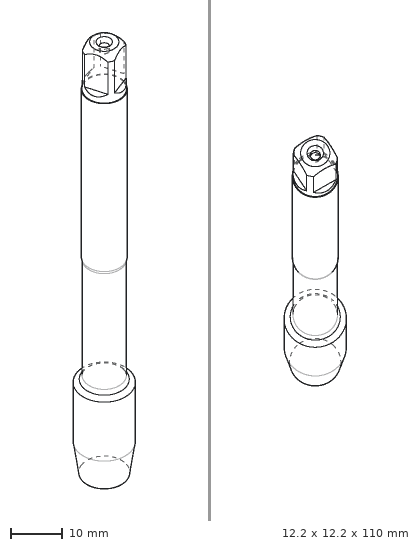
import cadquery as cq
import math

total_length = 110.0
taper_height = 8.0
head_shoulder = 23.1
head_height = 23.9
neck_top = 54.5
shank_bottom = 55.1
shank_top = 98.0
ramp_bottom = 99.0
ramp_top = 100.2

head_diameter = 12.2
tip_diameter = 10.0
neck_diameter = 8.7
shank_diameter = 9.0
drive_diameter = 8.7

flare_radius = 1.2
flare_turn = math.radians(57)
flare_bottom_diameter = neck_diameter + 2 * flare_radius * (1 - math.cos(flare_turn))
neck_bottom = head_height + flare_radius * math.sin(flare_turn)

across_flats = 7.0
drive_face_diameter = 5.7
drive_chamfer_height = 1.5

center_hole_diameter = 2.0
countersink_diameter = 3.2
countersink_half_angle = math.radians(30)
countersink_depth = (countersink_diameter - center_hole_diameter) / 2 / math.tan(countersink_half_angle)
center_hole_depth = 2.2
drill_point_depth = center_hole_diameter / 2


def make_turned_solid(stations):
    """Revolve (diameter, height) stations, listed from bottom to top, about Z."""
    bottom_height = stations[0][1]
    top_height = stations[-1][1]
    outline = [(diameter / 2, height) for diameter, height in stations]
    outline.append((0, top_height))
    if stations[0][0] > 0:
        outline.insert(0, (0, bottom_height))
    return cq.Workplane("XZ").polyline(outline).close().revolve(360, (0, 0, 0), (0, 1, 0))


def make_drive_envelope():
    """Square prism whose base widens at 45 degrees down to the full shank."""
    ramp_depth = ramp_top - ramp_bottom
    base_width = across_flats + 2 * ramp_depth
    ramp = (
        cq.Workplane("XY", origin=(0, 0, ramp_bottom))
        .rect(base_width, base_width)
        .workplane(offset=ramp_depth)
        .rect(across_flats, across_flats)
        .loft(ruled=True)
    )
    square = cq.Workplane("XY", origin=(0, 0, ramp_top)).rect(across_flats, across_flats)
    square = square.extrude(total_length - ramp_top)
    lower_shank = cq.Workplane("XY", origin=(0, 0, head_height)).rect(base_width, base_width)
    lower_shank = lower_shank.extrude(ramp_bottom - head_height)
    return lower_shank.union(ramp).union(square)


def make_center_hole():
    """Countersunk blind hole with a drill point, as a cutting solid."""
    return make_turned_solid([
        (0, total_length - center_hole_depth - drill_point_depth),
        (center_hole_diameter, total_length - center_hole_depth),
        (center_hole_diameter, total_length - countersink_depth),
        (countersink_diameter, total_length),
    ])


def make_neck_flare():
    """Neck base that widens along a concave arc down to the cutting head."""
    arc_center_radius = neck_diameter / 2 + flare_radius
    half_turn = flare_turn / 2
    arc_middle = (
        arc_center_radius - flare_radius * math.cos(half_turn),
        neck_bottom - flare_radius * math.sin(half_turn),
    )
    return (
        cq.Workplane("XZ")
        .moveTo(0, head_height)
        .lineTo(flare_bottom_diameter / 2, head_height)
        .threePointArc(arc_middle, (neck_diameter / 2, neck_bottom))
        .lineTo(0, neck_bottom)
        .close()
        .revolve(360, (0, 0, 0), (0, 1, 0))
    )


def make_shank():
    """Stepped shank with flared neck, square drive and centre hole."""
    blank = make_turned_solid([
        (neck_diameter, head_height),
        (neck_diameter, neck_top),
        (shank_diameter, shank_bottom),
        (shank_diameter, shank_top),
        (drive_diameter, shank_top),
        (drive_diameter, total_length - drive_chamfer_height),
        (drive_face_diameter, total_length),
    ])
    driven_blank = blank.intersect(make_drive_envelope())
    return driven_blank.union(make_neck_flare()).cut(make_center_hole())


def make_cutting_head():
    """Cylindrical head with a tapered lead and a conical shoulder."""
    return make_turned_solid([
        (tip_diameter, 0),
        (head_diameter, taper_height),
        (head_diameter, head_shoulder),
        (flare_bottom_diameter, head_height),
    ])


shank = make_shank()
cutting_head = make_cutting_head()

result = cq.Compound.makeCompound([shank.val(), cutting_head.val()])